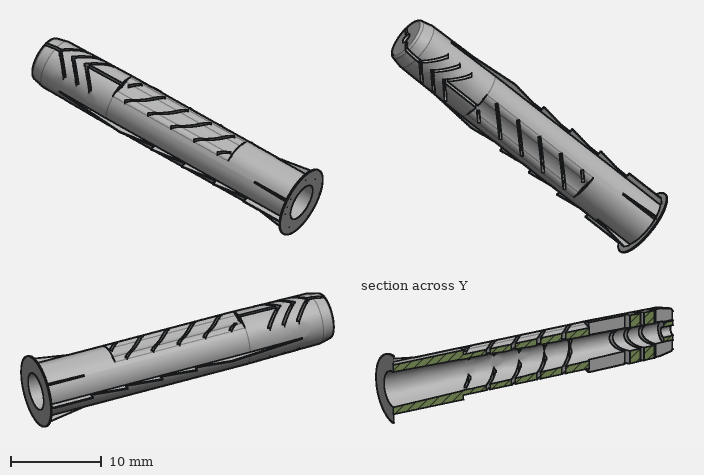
import cadquery as cq
import math


x_axis = ((0, 0, 0), (1, 0, 0))
seam_angle = 20

length = 35.0
body_radius = 3.0
sleeve_start = 10.45
nose_length = 1.5
nose_radius = 2.87
rounding_length = 0.25
rounding_radius = 2.6
face_radius = 2.28
rounding_middle = (0.07, 2.5)
flange_radius = 8.05 / 2
flange_thickness = 0.15
flange_face = length - flange_thickness

pilot_radius = 1.2 / 2
tip_wall = 1.22
bore_start_radius = 1.25
bore_mouth_radius = 4.2 / 2

fin_thickness = 0.15
fin_tip_radius = 3.65
fin_foot_radius = 2.8
tooth_root_radius = 3.05
front_fin_start = 2.8
front_fin_peak = 12.7
front_fin_flat = 0.28
first_tooth = 17.1
tooth_pitch = 4.2
tooth_count = 4
fin_chamfer = 0.42
gusset_start = 28.7
gusset_angles = (45, 135, 225, 315)

pocket_end = 26.18
pocket_half_width = 1.65
pocket_edge_height = math.sqrt(body_radius**2 - pocket_half_width**2)
shoulder_radius = 0.95
valley_half_width = 0.8
valley_depth = 0.15

shoulder_scale = 1 - shoulder_radius / body_radius
shoulder_center_y = pocket_half_width * shoulder_scale
shoulder_center_z = pocket_edge_height * shoulder_scale
shoulder_top = shoulder_center_z + shoulder_radius
valley_edge_height = shoulder_center_z + math.sqrt(
    shoulder_radius**2 - (shoulder_center_y - valley_half_width) ** 2
)
valley_floor_height = valley_edge_height - valley_depth

slot_width = 0.28
arrow_first_apex = 2.1
arrow_pitch = 1.75
arrow_count = 3
arrow_reach = 2.17
center_slot_width = 0.35
nose_slot_floor = 1.2
slant_first_center = 13.65
slant_pitch = 3.15
slant_count = 4
slant_run = 3.3
slant_rise = 3.05
short_slant_rise = 1.0

cut_height = 2 * flange_radius


def make_body():
    """Tapered tip, cylindrical sleeve and thin flange, turned about X.

    The seam of the turned faces is moved away from every fin and slot.
    """
    profile = (
        cq.Workplane("XY")
        .lineTo(0, face_radius)
        .threePointArc(rounding_middle, (rounding_length, rounding_radius))
        .lineTo(nose_length, nose_radius)
        .lineTo(sleeve_start, body_radius)
        .lineTo(flange_face, body_radius)
        .lineTo(flange_face, flange_radius)
        .lineTo(length, flange_radius)
        .lineTo(length, 0)
        .close()
    )
    return profile.revolve(360, *x_axis).rotate(*x_axis, seam_angle)


def make_bore():
    """Pilot hole through the tip wall, then a bore that widens to the mouth."""
    profile = (
        cq.Workplane("XY")
        .lineTo(0, pilot_radius)
        .lineTo(tip_wall, pilot_radius)
        .lineTo(tip_wall, bore_start_radius)
        .lineTo(length, bore_mouth_radius)
        .lineTo(length, 0)
        .close()
    )
    return profile.revolve(360, *x_axis).rotate(*x_axis, seam_angle)


def make_fin(points):
    """Thin plate standing on the +Y side of the body."""
    return (
        cq.Workplane("XY")
        .polyline(points)
        .close()
        .extrude(fin_thickness / 2, both=True)
    )


def head_end_points():
    """Chamfered end that every fin has at the flange."""
    return [
        (flange_face - fin_chamfer, fin_tip_radius),
        (flange_face, fin_tip_radius - fin_chamfer),
        (flange_face, fin_foot_radius),
    ]


def make_toothed_fin():
    points = [
        (front_fin_start, fin_foot_radius),
        (front_fin_peak, fin_tip_radius),
        (front_fin_peak + front_fin_flat, fin_tip_radius),
    ]
    for i in range(tooth_count):
        tooth_x = first_tooth + i * tooth_pitch
        points.append((tooth_x, tooth_root_radius))
        points.append((tooth_x, fin_tip_radius))
    return make_fin(points + head_end_points())


def make_gusset():
    return make_fin([(gusset_start, fin_foot_radius)] + head_end_points())


def make_pocket():
    """Pocket in the top with two rounded shoulders and a shallow valley between."""
    return (
        cq.Workplane("YZ", origin=(sleeve_start, 0, 0))
        .moveTo(-pocket_half_width, pocket_edge_height)
        .threePointArc((-shoulder_center_y, shoulder_top), (-valley_half_width, valley_edge_height))
        .threePointArc((0, valley_floor_height), (valley_half_width, valley_edge_height))
        .threePointArc((shoulder_center_y, shoulder_top), (pocket_half_width, pocket_edge_height))
        .lineTo(pocket_half_width, flange_radius)
        .lineTo(-pocket_half_width, flange_radius)
        .close()
        .extrude(pocket_end - sleeve_start)
    )


def make_slot(start, end, width):
    """Square-ended slot along a line in XY, through the whole height."""
    dx = end[0] - start[0]
    dy = end[1] - start[1]
    middle = ((start[0] + end[0]) / 2, (start[1] + end[1]) / 2, 0)
    slot = cq.Workplane("XY").box(math.hypot(dx, dy), width, cut_height)
    return slot.rotate((0, 0, 0), (0, 0, 1), math.degrees(math.atan2(dy, dx))).translate(middle)


def make_tip_slots():
    """V-shaped slots that open toward the flange, and the straight slots beside them."""
    slots = []
    miter = slot_width / 2 * math.sqrt(0.5)
    for i in range(arrow_count):
        apex = arrow_first_apex + i * arrow_pitch
        for side in (1, -1):
            start = (apex - miter, -side * miter)
            end = (apex + arrow_reach, side * arrow_reach)
            slots.append(make_slot(start, end, slot_width))
    last_apex = arrow_first_apex + (arrow_count - 1) * arrow_pitch
    slots.append(make_slot((last_apex, 0), (sleeve_start, 0), center_slot_width))

    nose_slot_depth = body_radius - nose_slot_floor
    for side in (1, -1):
        slots.append(
            cq.Workplane("XY")
            .box(arrow_first_apex, center_slot_width, nose_slot_depth)
            .translate((arrow_first_apex / 2, 0, side * (nose_slot_floor + nose_slot_depth / 2)))
        )
    return slots


def make_slanted_slots():
    """Row of slanted slots along the pockets, with a short one at either end."""
    slots = []
    run_per_rise = slant_run / slant_rise
    half_rise = slant_rise / 2
    inner_rise = half_rise - short_slant_rise
    for i in range(-1, slant_count + 1):
        center = slant_first_center + i * slant_pitch
        low = inner_rise if i == -1 else -half_rise
        high = -inner_rise if i == slant_count else half_rise
        start = (center + low * run_per_rise, low)
        end = (center + high * run_per_rise, high)
        slots.append(make_slot(start, end, slot_width))
    return slots


result = make_body()

for angle in (0, 180):
    result = result.union(make_toothed_fin().rotate(*x_axis, angle))
for angle in gusset_angles:
    result = result.union(make_gusset().rotate(*x_axis, angle))

result = result.cut(make_bore())

result = result.cut(make_pocket()).cut(make_pocket().mirror("XY"))

for slot in make_tip_slots() + make_slanted_slots():
    result = result.cut(slot)